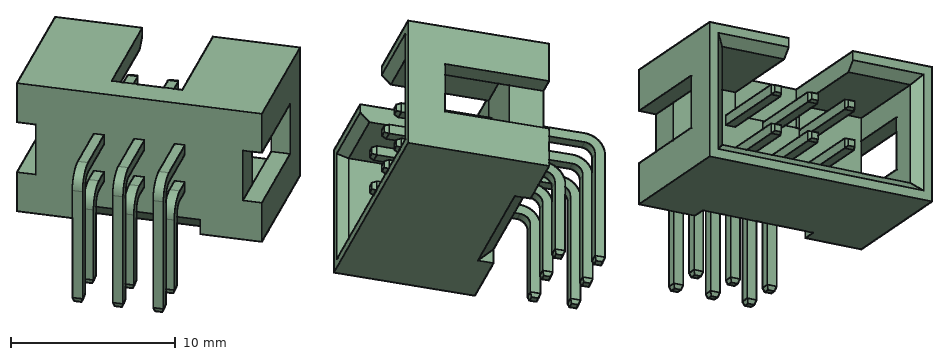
import cadquery as cq


body_width = 15.42
body_depth = 8.97
body_height = 8.8
wall = 1.19
base_thickness = 2.17
mouth_chamfer = 0.59

slot_width = 4.44
slot_rear = 1.77

window_height = 3.42
window_rim = 2.36

wedge_width = 7.65
wedge_size = 1.0

pin_size = 0.65
pitch = 2.55
columns = (-1, 0, 1)
bend_outer = 1.33
bend_inner = bend_outer - pin_size
upper_reach = 5.05
pin_drop = 2.99
pin_recess = 0.77
tip_length = 0.3
tip_inset = 0.1

middle_z = body_height / 2
window_top = middle_z + window_height / 2


def block(width, y_from, y_to, z_from, z_to):
    """Box centred on X = 0 between the given Y and Z limits."""
    size = (width, y_to - y_from, z_to - z_from)
    return cq.Workplane("XY").box(*size, centered=(True, False, False)).translate((0, y_from, z_from))


def make_cavity():
    """Pocket for the mating plug, flared at its mouth."""
    cavity_width = body_width - 2 * wall
    cavity_height = body_height - 2 * wall
    pocket = block(cavity_width, base_thickness, body_depth, wall, body_height - wall)
    flare = (
        cq.Workplane("XZ", origin=(0, body_depth - mouth_chamfer, middle_z))
        .rect(cavity_width, cavity_height)
        .workplane(offset=-mouth_chamfer)
        .rect(cavity_width + 2 * mouth_chamfer, cavity_height + 2 * mouth_chamfer)
        .loft(ruled=True)
    )
    return pocket.union(flare)


def make_slot():
    """Keying slot; at its rear it steps down into the base as far as the window top."""
    return block(slot_width, slot_rear, body_depth, window_top, body_height)


def make_windows():
    """Openings through both side walls, continued to the rear face as recesses in the base."""
    z_limits = (middle_z - window_height / 2, window_top)
    across = block(body_width, 0, body_depth - window_rim, *z_limits)
    base_core = block(body_width - 2 * wall, 0, base_thickness, *z_limits)
    return across.cut(base_core)


def make_wedge():
    """45 degree cut along the lower rear edge."""
    return (
        cq.Workplane("YZ")
        .polyline([(0, 0), (wedge_size, 0), (0, wedge_size)])
        .close()
        .extrude(wedge_width / 2, both=True)
    )


def make_tip(plane):
    """Tapered pin end growing along the normal of the plane."""
    end_size = pin_size - 2 * tip_inset
    return (
        cq.Workplane(plane)
        .rect(pin_size, pin_size)
        .workplane(offset=tip_length)
        .rect(end_size, end_size)
        .loft(ruled=True)
    )


def make_pin(x, z, reach):
    """Square pin at height z whose bent leg ends at Y = -reach on its outer side."""
    top = z + pin_size / 2
    bottom = z - pin_size / 2
    leg_outer = -reach
    leg_inner = leg_outer + pin_size
    front = body_depth - pin_recess - tip_length
    leg_end = tip_length - pin_drop
    bend_y = leg_outer + bend_outer
    bend_z = top - bend_outer
    bar = (
        cq.Workplane("YZ", origin=(x, 0, 0))
        .moveTo(front, top)
        .lineTo(bend_y, top)
        .radiusArc((leg_outer, bend_z), -bend_outer)
        .lineTo(leg_outer, leg_end)
        .lineTo(leg_inner, leg_end)
        .lineTo(leg_inner, bend_z)
        .radiusArc((bend_y, bottom), bend_inner)
        .lineTo(front, bottom)
        .close()
        .extrude(pin_size / 2, both=True)
    )
    front_tip = make_tip(cq.Plane((x, front, z), (1, 0, 0), (0, 1, 0)))
    leg_y = leg_outer + pin_size / 2
    solder_tip = make_tip(cq.Plane((x, leg_y, leg_end), (1, 0, 0), (0, 0, -1)))
    return bar.union(front_tip).union(solder_tip)


result = block(body_width, 0, body_depth, 0, body_height)
for cut in (make_cavity(), make_slot(), make_windows(), make_wedge()):
    result = result.cut(cut)

for column in columns:
    x = column * pitch
    result = result.union(make_pin(x, middle_z + pitch / 2, upper_reach))
    result = result.union(make_pin(x, middle_z - pitch / 2, upper_reach - pitch))